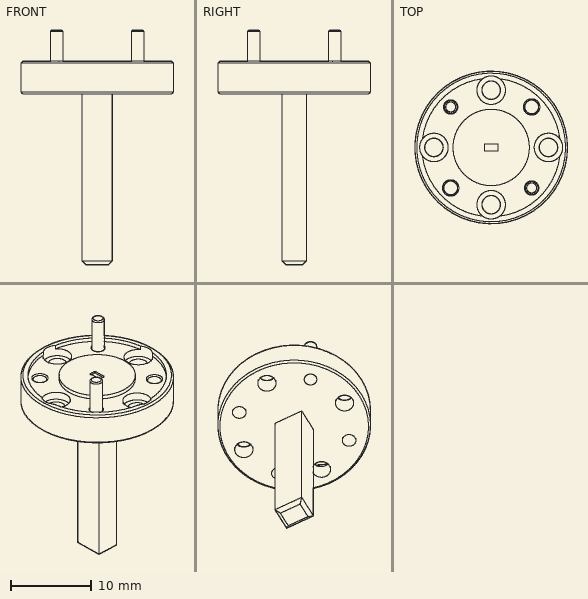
import cadquery as cq
import math


flange_diameter = 19.05
flange_thickness = 4.12
flange_chamfer = 0.254

recess_diameter = 17.27
boss_diameter = flange_diameter / 2
recess_depth = 0.508

bolt_circle_radius = 7.14
hole_count = 4
hole_spacing = 360 / hole_count
screw_hole_diameter = 2.27
counterbore_diameter = 3.556
counterbore_depth = 1.524

pin_diameter = 1.58
pin_projection = 3.87
pin_tip_chamfer = 0.17
pin_hole_chamfer = 0.1
mating_hole_diameter = 1.7
mating_hole_chamfer = 0.17
pin_angles = (135, 315)
mating_hole_angles = (45, 225)

overall_height = 29.27
stem_width = 3.8
stem_depth = 3.08
stem_tip_chamfer = 0.5
stem_length = overall_height - pin_projection - flange_thickness

window_width = 1.651
window_height = window_width / 2
window_depth = 0.25


def bolt_circle_point(angle):
    """Point on the bolt circle at an angle in degrees from +X."""
    radians = math.radians(angle)
    return (bolt_circle_radius * math.cos(radians), bolt_circle_radius * math.sin(radians))


def cylinder_down(diameter, top, length, points):
    """Vertical cylinders at the points, reaching down from the height top."""
    return cq.Workplane("XY", origin=(0, 0, top)).pushPoints(points).circle(diameter / 2).extrude(-length)


def chamfered_hole(diameter, chamfer, point):
    """Cutter for a hole through the flange with a chamfered mouth at the recess floor."""
    radius = diameter / 2
    profile = [
        (0, -flange_thickness),
        (radius, -flange_thickness),
        (radius, -recess_depth - chamfer),
        (radius + chamfer, -recess_depth),
        (0, -recess_depth),
    ]
    cutter = cq.Workplane("XZ").polyline(profile).close().revolve(360, (0, 0, 0), (0, 1, 0))
    return cutter.translate((*point, 0))


def make_disc():
    disc = cylinder_down(flange_diameter, 0, flange_thickness, [(0, 0)])
    disc = disc.faces("<Z or >Z").edges().chamfer(flange_chamfer)
    recess = (
        cq.Workplane("XY")
        .circle(recess_diameter / 2)
        .circle(boss_diameter / 2)
        .extrude(-recess_depth)
    )
    return disc.cut(recess)


def make_stem():
    stem = (
        cq.Workplane("XY", origin=(0, 0, -flange_thickness))
        .rect(stem_width, stem_depth)
        .extrude(-stem_length)
    )
    return stem.faces("<Z").edges().chamfer(stem_tip_chamfer)


def make_flange():
    """Flange disc and stem in one piece, with all holes and the window."""
    flange = make_disc().union(make_stem())

    screw_points = [bolt_circle_point(i * hole_spacing) for i in range(hole_count)]
    flange = flange.cut(cylinder_down(screw_hole_diameter, 0, flange_thickness, screw_points))
    flange = flange.cut(cylinder_down(counterbore_diameter, 0, counterbore_depth, screw_points))

    for angle in pin_angles:
        flange = flange.cut(chamfered_hole(pin_diameter, pin_hole_chamfer, bolt_circle_point(angle)))
    for angle in mating_hole_angles:
        flange = flange.cut(
            chamfered_hole(mating_hole_diameter, mating_hole_chamfer, bolt_circle_point(angle))
        )

    window = cq.Workplane("XY").rect(window_width, window_height).extrude(-window_depth)
    return flange.cut(window)


def make_pin(angle):
    """Dowel pin flush with the underside of the flange and standing above the rim."""
    length = pin_projection + flange_thickness
    pin = cylinder_down(pin_diameter, pin_projection, length, [bolt_circle_point(angle)])
    return pin.faces(">Z").edges().chamfer(pin_tip_chamfer)


flange = make_flange()
pins = [make_pin(angle) for angle in pin_angles]

result = cq.Compound.makeCompound([flange.val(), *[pin.val() for pin in pins]])